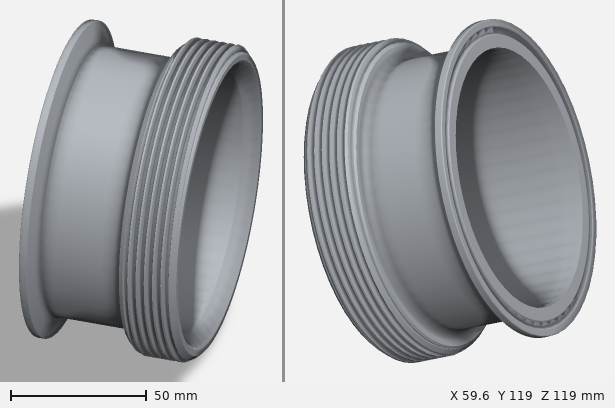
import cadquery as cq
import math

total_length = 59.6
max_radius = 119 / 2
tube_radius = 101.6 / 2
bore_radius = 97.4 / 2

rim_width = 3.0
rim_rounding = 0.5
ferrule_angle = math.radians(20)
ferrule_root_fillet = 0.8

groove_inner_radius = 53.8
groove_outer_radius = 56.5
groove_depth = 1.3
groove_lip_fillet = 0.5

seat_chamfer = 5.5

collar_start = 37.6
collar_fillet = 3.2
collar_chamfer = 3.1
thread_pitch = 2 * total_length / 37.6
thread_root_radius = 114.2 / 2
thread_crest_x = 41.3
crest_width = 0.7
root_width = 1.1
lead_in_turns = 3
cutter_clearance = 0.6


def revolve_about_x(profile):
    return profile.revolve(360, (0, 0, 0), (1, 0, 0))


def circle_at(x, radius):
    """Selector for circular edges around X at one position, up to the given radius."""
    margin = 0.01
    reach = radius + margin
    return cq.selectors.BoxSelector(
        (x - margin, -reach, -reach), (x + margin, reach, reach), boundingbox=True
    )


def make_body():
    """Ferrule, tube and chamfered collar blank, without the bore."""
    cone_end = rim_width + (max_radius - tube_radius) * math.tan(ferrule_angle)
    chamfer_base = max_radius - collar_chamfer
    body = revolve_about_x(
        cq.Workplane("XY")
        .moveTo(0, 0)
        .lineTo(0, max_radius)
        .lineTo(rim_width, max_radius)
        .lineTo(cone_end, tube_radius)
        .lineTo(collar_start, tube_radius)
        .lineTo(collar_start, chamfer_base)
        .lineTo(collar_start + collar_chamfer, max_radius)
        .lineTo(total_length - collar_chamfer, max_radius)
        .lineTo(total_length, chamfer_base)
        .lineTo(total_length, 0)
        .close()
    )
    body = body.edges(circle_at(0, max_radius)).fillet(rim_rounding)
    body = body.edges(circle_at(rim_width, max_radius)).fillet(rim_rounding)
    body = body.edges(circle_at(cone_end, tube_radius)).fillet(ferrule_root_fillet)
    return body.edges(circle_at(collar_start, tube_radius)).fillet(collar_fillet)


def make_bore():
    """Through bore that opens into the bevelled seat."""
    bore = cq.Workplane("YZ").circle(bore_radius).extrude(total_length)
    seat = revolve_about_x(
        cq.Workplane("XY")
        .moveTo(total_length - seat_chamfer, 0)
        .lineTo(total_length - seat_chamfer, bore_radius)
        .lineTo(total_length, bore_radius + seat_chamfer)
        .lineTo(total_length, 0)
        .close()
    )
    return bore.union(seat)


def cut_gasket_groove(body):
    """Ring with a shallow arc section, sunk into the clamp face, with rounded lips."""
    middle_radius = (groove_inner_radius + groove_outer_radius) / 2
    ring = revolve_about_x(
        cq.Workplane("XY")
        .moveTo(0, groove_inner_radius)
        .threePointArc((groove_depth, middle_radius), (0, groove_outer_radius))
        .close()
    )
    body = body.cut(ring)
    lips = circle_at(0, groove_outer_radius) - circle_at(0, bore_radius)
    return body.edges(lips).fillet(groove_lip_fillet)


def make_thread_groove_turn(start_x):
    """One helical turn of the trapezoid between two crests, starting on the +Z side."""
    flank_width = (thread_pitch - crest_width - root_width) / 2
    flank_slope = flank_width / (max_radius - thread_root_radius)
    outer_radius = max_radius + cutter_clearance
    outer_width = root_width + 2 * flank_slope * (outer_radius - thread_root_radius)
    helix = cq.Wire.makeHelix(
        thread_pitch,
        thread_pitch,
        thread_root_radius,
        center=cq.Vector(start_x, 0, 0),
        dir=cq.Vector(1, 0, 0),
    )
    section = (
        cq.Workplane("XZ")
        .moveTo(start_x - root_width / 2, thread_root_radius)
        .lineTo(start_x + root_width / 2, thread_root_radius)
        .lineTo(start_x + outer_width / 2, outer_radius)
        .lineTo(start_x - outer_width / 2, outer_radius)
        .close()
    )
    return section.sweep(cq.Workplane(helix), isFrenet=True)


def cut_thread(body):
    """Right-hand thread that runs out past both ends of the collar."""
    first_groove_x = thread_crest_x - (lead_in_turns - 0.5) * thread_pitch
    turns = math.ceil((total_length - first_groove_x) / thread_pitch) + 1
    for turn in range(turns):
        body = body.cut(make_thread_groove_turn(first_groove_x + turn * thread_pitch))
    return body


result = make_body().cut(make_bore())
result = cut_gasket_groove(result)
result = cut_thread(result)